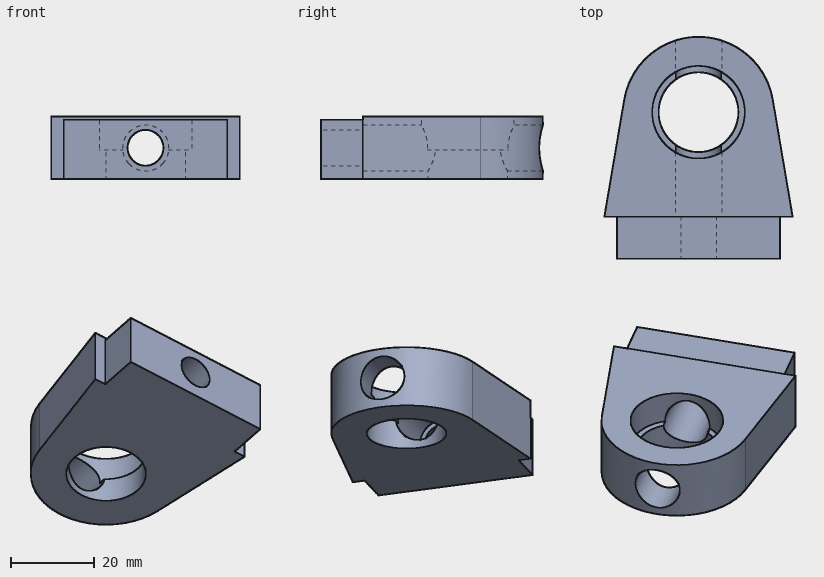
import cadquery as cq
import math

thickness = 15.0
eye_radius = 18.0
base_width = 45.0
base_distance = 25.0

tab_width = 39.0
tab_length = 10.0
tab_height = 14.25

bore_diameter = 19.0
counterbore_diameter = 22.1
shoulder_height = 7.0

cross_hole_height = thickness / 2
tap_hole_diameter = 8.5
clearance_hole_diameter = 11.0


def make_body():
    """Eye outline with its flanks tangent to the round end."""
    half_width = base_width / 2
    corner_distance = math.hypot(half_width, base_distance)
    corner_angle = math.atan2(-base_distance, half_width)
    tangent_angle = corner_angle + math.acos(eye_radius / corner_distance)
    tangent_x = eye_radius * math.cos(tangent_angle)
    tangent_y = eye_radius * math.sin(tangent_angle)
    return (
        cq.Workplane("XY")
        .moveTo(-half_width, -base_distance)
        .lineTo(half_width, -base_distance)
        .lineTo(tangent_x, tangent_y)
        .threePointArc((0, eye_radius), (-tangent_x, tangent_y))
        .close()
        .extrude(thickness)
    )


def make_tab():
    """Block flush with the underside, standing out from the wide end."""
    return (
        cq.Workplane("XY")
        .center(0, -base_distance - tab_length / 2)
        .rect(tab_width, tab_length)
        .extrude(tab_height)
    )


def make_bore():
    """Through bore with a wider counterbore above the shoulder."""
    bore = cq.Workplane("XY").circle(bore_diameter / 2).extrude(thickness)
    counterbore = (
        cq.Workplane("XY", origin=(0, 0, shoulder_height))
        .circle(counterbore_diameter / 2)
        .extrude(thickness - shoulder_height)
    )
    return bore.union(counterbore)


def make_y_cylinder(diameter, y_start, y_end):
    """Cylinder along +Y at the height of the cross hole."""
    return cq.Workplane(
        cq.Solid.makeCylinder(
            diameter / 2,
            y_end - y_start,
            cq.Vector(0, y_start, cross_hole_height),
            cq.Vector(0, 1, 0),
        )
    )


def make_cross_hole():
    """Narrow hole through the tab, wider clearance hole through the body."""
    tab_end = -base_distance - tab_length
    tap_hole = make_y_cylinder(tap_hole_diameter, tab_end, 0)
    clearance_hole = make_y_cylinder(clearance_hole_diameter, -base_distance, eye_radius)
    return tap_hole.union(clearance_hole)


result = make_body().union(make_tab()).cut(make_bore()).cut(make_cross_hole())